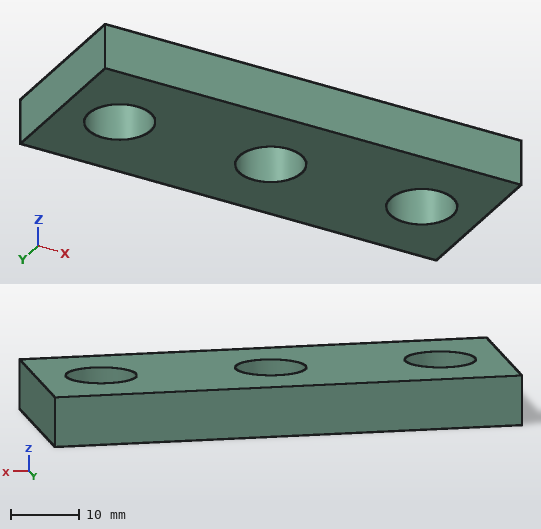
import cadquery as cq

length = 69.85
width = 25.4
thickness = 7.5

hole_diameter = 10.4
hole_pitch = 25.35
hole_count = 3

bar = cq.Workplane("XY").box(length, width, thickness)

result = (
    bar.faces(">Z")
    .workplane()
    .rarray(hole_pitch, width, hole_count, 1)
    .hole(hole_diameter)
)